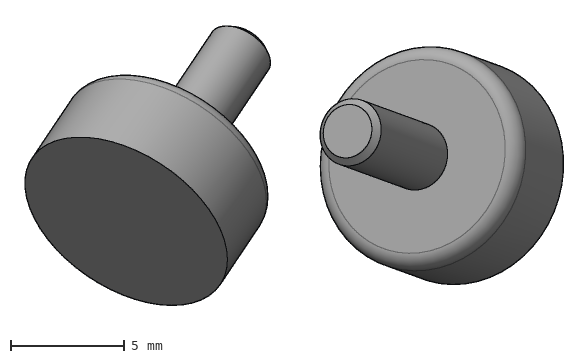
import cadquery as cq

head_diameter = 10.0
head_height = 4.5
head_fillet = 0.675
pin_diameter = 3.0
pin_length = 7.0
pin_chamfer = 0.307


def cylinder_along_y(diameter, start_y, length):
    """Solid cylinder on the Y axis, running from start_y toward +Y."""
    plane = cq.Plane(origin=(0, start_y, 0), xDir=(1, 0, 0), normal=(0, 1, 0))
    return cq.Workplane(plane).circle(diameter / 2).extrude(length)


def make_head():
    """Disc head with its flat face at Y = 0 and a rounded rim on the pin side."""
    head = cylinder_along_y(head_diameter, 0, head_height)
    return head.faces(">Y").edges().fillet(head_fillet)


def make_pin():
    """Pin rising from the head, chamfered at its free end."""
    pin = cylinder_along_y(pin_diameter, head_height, pin_length)
    return pin.faces(">Y").edges().chamfer(pin_chamfer)


result = make_head().union(make_pin())